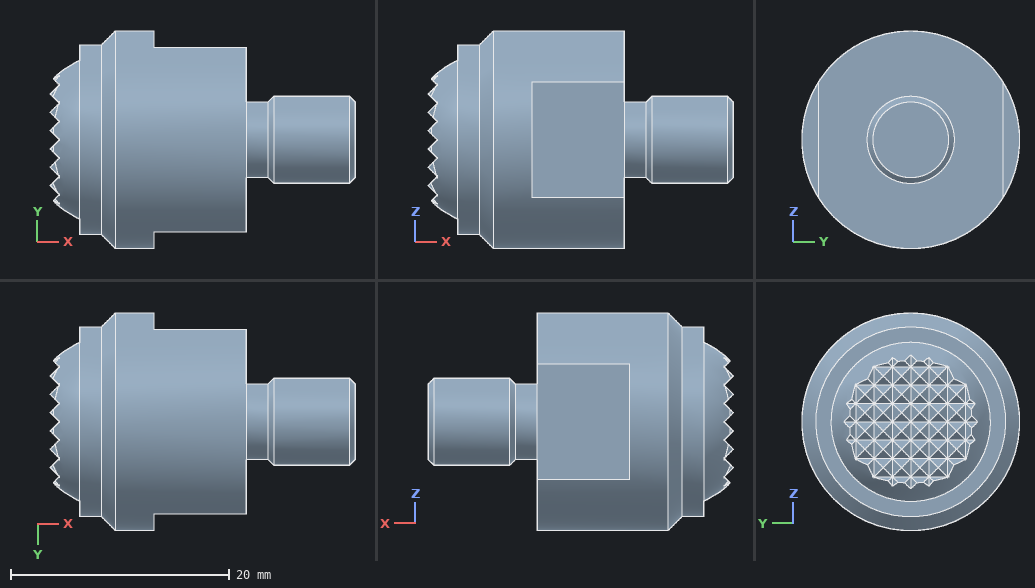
import cadquery as cq
import math

TOTAL_LENGTH = 28.0
COLLAR_START = 2.72
SHOULDER_END = 6.0
FLATS_START = 9.55
BODY_END = 18.0
NECK_END = 20.0

BODY_RADIUS = 10.0
COLLAR_RADIUS = 8.7
NECK_RADIUS = 3.47
STUD_RADIUS = 4.0

SHOULDER_CHAMFER = BODY_RADIUS - COLLAR_RADIUS
STUD_CHAMFER = STUD_RADIUS - NECK_RADIUS

HALF_ACROSS_FLATS = 8.48

BALL_RADIUS = 8.0
BALL_CENTER_X = 6.0

GROOVE_PITCH = 1.68
GROOVE_DEPTH = GROOVE_PITCH / 2
GROOVES_PER_SIDE = 3


def ball_blank():
    """Sphere with a flat front, both the ball blank and the shape of its socket."""
    flat_radius = math.sqrt(BALL_RADIUS**2 - BALL_CENTER_X**2)
    return (
        cq.Workplane("XZ")
        .lineTo(0, flat_radius)
        .threePointArc((BALL_CENTER_X, BALL_RADIUS), (BALL_CENTER_X + BALL_RADIUS, 0))
        .close()
        .revolve(360, (0, 0), (1, 0))
    )


def turned_blank():
    """Collar, shoulder, body, neck and stud, revolved about X."""
    profile = [
        (COLLAR_START, 0),
        (COLLAR_START, COLLAR_RADIUS),
        (SHOULDER_END - SHOULDER_CHAMFER, COLLAR_RADIUS),
        (SHOULDER_END, BODY_RADIUS),
        (BODY_END, BODY_RADIUS),
        (BODY_END, NECK_RADIUS),
        (NECK_END, NECK_RADIUS),
        (NECK_END + STUD_CHAMFER, STUD_RADIUS),
        (TOTAL_LENGTH - STUD_CHAMFER, STUD_RADIUS),
        (TOTAL_LENGTH, STUD_RADIUS - STUD_CHAMFER),
        (TOTAL_LENGTH, 0),
    ]
    return cq.Workplane("XZ").polyline(profile).close().revolve(360, (0, 0), (1, 0))


def wrench_flats():
    """Two blocks that cut the flats from FLATS_START to the back of the body."""
    flat_depth = BODY_RADIUS - HALF_ACROSS_FLATS
    flat_middle_y = HALF_ACROSS_FLATS + flat_depth / 2
    flat_middle_x = (FLATS_START + BODY_END) / 2
    return (
        cq.Workplane("XY")
        .pushPoints([(flat_middle_x, -flat_middle_y), (flat_middle_x, flat_middle_y)])
        .box(BODY_END - FLATS_START, flat_depth, 2 * BODY_RADIUS)
    )


def make_housing():
    """Body with wrench flats, a plain stud and a spherical socket."""
    return turned_blank().cut(wrench_flats()).cut(ball_blank())


def v_groove(offset):
    """V-groove running along Z, with its root at Y = offset."""
    return (
        cq.Workplane("XY")
        .polyline([
            (0, offset - GROOVE_DEPTH),
            (GROOVE_DEPTH, offset),
            (0, offset + GROOVE_DEPTH),
        ])
        .close()
        .extrude(BALL_RADIUS, both=True)
    )


def make_ball():
    """Ball with a flat front, scored both ways into pyramid teeth."""
    ball = ball_blank()
    for index in range(-GROOVES_PER_SIDE, GROOVES_PER_SIDE + 1):
        upright_groove = v_groove(index * GROOVE_PITCH)
        level_groove = upright_groove.rotate((0, 0, 0), (1, 0, 0), 90)
        ball = ball.cut(upright_groove).cut(level_groove)
    return ball


housing = make_housing()
gripper_ball = make_ball()

result = cq.Compound.makeCompound([housing.val(), gripper_ball.val()])